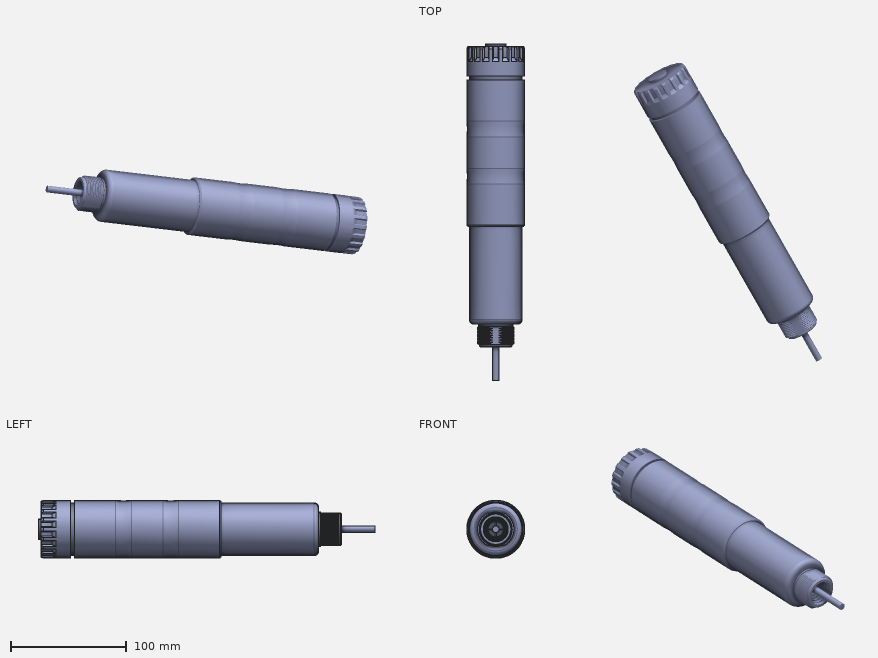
import cadquery as cq

tube_radius = 25.0
neck_radius = 22.7
cap_front_y = 117.5
tube_back_y = 114.2
tube_front_y = -12.5
tube_front_chamfer = 1.5
neck_front_y = -96.5
neck_fillet = 4.0
waist_centers_y = (71.8, 31.0)
waist_length = 13.7
waist_depth = 0.45

cap_back_y = 143.0
back_bevel_length = 2.0
back_bevel_depth = 1.0
scallop_count = 18
scallop_front_y = 130.0
scallop_ramp_length = 3.5
scallop_depth = 1.7
scallop_width = 6.0
scallop_floor_width = 3.8
boss_radius = 8.7
boss_back_y = 145.3

gland_front_y = -116.2
gland_root_radius = 14.0
gland_front_chamfer = 1.0
collar_radius = 14.8
collar_length = 1.5
thread_radius = 15.7
thread_minor_radius = 14.2
thread_pitch = 1.5
thread_crest_width = thread_pitch / 4
thread_turns = 10
thread_back_y = -98.8
flat_height = 14.0
funnel_mouth_radius = 10.8
funnel_floor_radius = 6.0
funnel_steps = 5
funnel_depth = 14.0
funnel_ledge = 0.5
seal_slit_count = 4
seal_slit_width = 1.0

cable_radius = 3.0
cable_front_y = -145.3
cable_back_y = neck_front_y


def cylinder(radius, start_y, end_y):
    """Cylinder on the Y axis from start_y up to end_y."""
    return cq.Workplane("XZ", origin=(0, end_y, 0)).circle(radius).extrude(end_y - start_y)


def turn(profile):
    """Revolve a closed (radius, y) profile around the Y axis."""
    return profile.close().revolve(360, (0, 0, 0), (0, 1, 0))


def make_tube():
    profile = (
        cq.Workplane("XY")
        .moveTo(0, neck_front_y)
        .lineTo(neck_radius - neck_fillet, neck_front_y)
        .radiusArc((neck_radius, neck_front_y + neck_fillet), -neck_fillet)
        .lineTo(neck_radius, tube_front_y)
        .lineTo(tube_radius - tube_front_chamfer, tube_front_y)
        .lineTo(tube_radius, tube_front_y + tube_front_chamfer)
    )
    for center_y in sorted(waist_centers_y):
        profile = (
            profile
            .lineTo(tube_radius, center_y - waist_length / 2)
            .threePointArc(
                (tube_radius - waist_depth, center_y),
                (tube_radius, center_y + waist_length / 2),
            )
        )
    profile = (
        profile
        .lineTo(tube_radius, tube_back_y)
        .lineTo(neck_radius, tube_back_y)
        .lineTo(neck_radius, cap_front_y)
        .lineTo(0, cap_front_y)
    )
    return turn(profile)


def make_scallop():
    """Cutter for one grip scallop at the top of the cap: sloping sides and a ramped front end."""
    floor_radius = tube_radius - scallop_depth
    top_radius = tube_radius + scallop_depth
    top_width = 2 * scallop_width - scallop_floor_width
    cross_section = (
        cq.Workplane("XZ", origin=(0, cap_back_y, 0))
        .moveTo(-scallop_floor_width / 2, floor_radius)
        .lineTo(scallop_floor_width / 2, floor_radius)
        .lineTo(top_width / 2, top_radius)
        .lineTo(-top_width / 2, top_radius)
        .close()
        .extrude(cap_back_y - scallop_front_y)
    )
    ramped_side = (
        cq.Workplane("YZ")
        .moveTo(scallop_front_y, tube_radius)
        .lineTo(scallop_front_y + scallop_ramp_length, floor_radius)
        .lineTo(cap_back_y, floor_radius)
        .lineTo(cap_back_y, top_radius)
        .lineTo(scallop_front_y, top_radius)
        .close()
        .extrude(top_width / 2, both=True)
    )
    return cross_section.intersect(ramped_side)


def make_cap():
    cap = turn(
        cq.Workplane("XY")
        .moveTo(0, cap_front_y)
        .lineTo(tube_radius, cap_front_y)
        .lineTo(tube_radius, cap_back_y - back_bevel_length)
        .lineTo(tube_radius - back_bevel_depth, cap_back_y)
        .lineTo(0, cap_back_y)
    )
    scallop = make_scallop()
    for index in range(scallop_count):
        cap = cap.cut(scallop.rotate((0, 0, 0), (0, 1, 0), index * 360 / scallop_count))
    return cap.union(cylinder(boss_radius, cap_back_y, boss_back_y))


def make_gland_outside():
    """Gland barrel with a root collar, ring-shaped thread crests and two flats."""
    profile = (
        cq.Workplane("XY")
        .moveTo(0, gland_front_y)
        .lineTo(gland_root_radius - gland_front_chamfer, gland_front_y)
        .lineTo(gland_root_radius, gland_front_y + gland_front_chamfer)
    )
    thread_front_y = thread_back_y - thread_turns * thread_pitch
    profile = profile.lineTo(gland_root_radius, thread_front_y)
    for turn_index in range(thread_turns):
        start_y = thread_front_y + turn_index * thread_pitch
        profile = (
            profile
            .lineTo(thread_minor_radius, start_y)
            .lineTo(thread_radius, start_y + (thread_pitch - thread_crest_width) / 2)
            .lineTo(thread_radius, start_y + (thread_pitch + thread_crest_width) / 2)
        )
    profile = (
        profile
        .lineTo(thread_minor_radius, thread_back_y)
        .lineTo(gland_root_radius, thread_back_y)
        .lineTo(gland_root_radius, neck_front_y - collar_length)
        .lineTo(collar_radius, neck_front_y - collar_length)
        .lineTo(collar_radius, neck_front_y)
        .lineTo(0, neck_front_y)
    )
    flat_back_y = neck_front_y - collar_length
    beside_flats = (
        cylinder(2 * thread_radius, gland_front_y, flat_back_y)
        .cut(
            cq.Workplane("XZ", origin=(0, flat_back_y, 0))
            .rect(4 * thread_radius, 2 * flat_height)
            .extrude(flat_back_y - gland_front_y)
        )
    )
    return turn(profile).cut(beside_flats)


def make_gland_opening():
    """Stepped conical funnel, cable hole and slits that divide the seal into quarters."""
    step_depth = funnel_depth / funnel_steps
    step_shrink = (funnel_mouth_radius - funnel_floor_radius) / funnel_steps
    profile = cq.Workplane("XY").moveTo(0, gland_front_y)
    for step in range(funnel_steps):
        start_y = gland_front_y + step * step_depth
        start_radius = funnel_mouth_radius - step * step_shrink
        profile = (
            profile
            .lineTo(start_radius, start_y)
            .lineTo(start_radius - step_shrink + funnel_ledge, start_y + step_depth)
        )
    profile = profile.lineTo(0, gland_front_y + funnel_depth)
    opening = turn(profile).union(cylinder(cable_radius, gland_front_y, cable_back_y))
    slit_length = cable_back_y - gland_front_y
    slit = (
        cq.Workplane("XY")
        .box(funnel_floor_radius, slit_length, seal_slit_width, centered=(False, False, True))
        .translate((0, gland_front_y, 0))
    )
    for index in range(seal_slit_count):
        opening = opening.union(slit.rotate((0, 0, 0), (0, 1, 0), index * 360 / seal_slit_count))
    return opening


def make_housing():
    housing = make_tube().union(make_cap()).union(make_gland_outside())
    return housing.cut(make_gland_opening())


def make_cable():
    return cylinder(cable_radius, cable_front_y, cable_back_y)


housing = make_housing()
cable = make_cable()
result = cq.Compound.makeCompound([housing.val(), cable.val()])